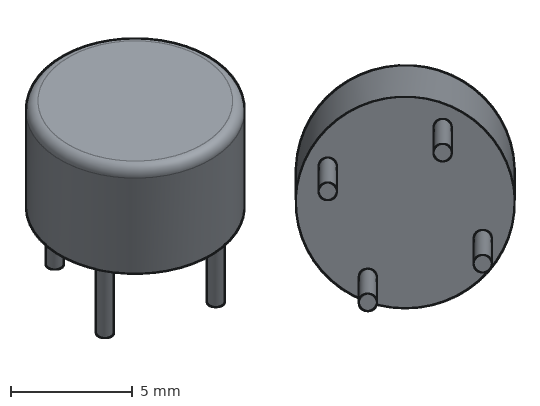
import cadquery as cq

can_diameter = 9.0
can_height = 5.5
rim_radius = 0.5

pin_diameter = 0.75
pin_length = 4.0
pin_pitch = 5.0


def make_can():
    """Solid cylinder with a rounded top rim."""
    can = cq.Workplane("XY").circle(can_diameter / 2).extrude(can_height)
    return can.faces(">Z").edges().fillet(rim_radius)


def make_pin(x, y):
    """Straight round lead hanging from the underside of the can."""
    return cq.Workplane("XY").center(x, y).circle(pin_diameter / 2).extrude(-pin_length)


can = make_can()

pin_offsets = (-pin_pitch / 2, pin_pitch / 2)
pins = []
for x in pin_offsets:
    for y in pin_offsets:
        pins.append(make_pin(x, y).val())

result = cq.Compound.makeCompound([can.val(), *pins])